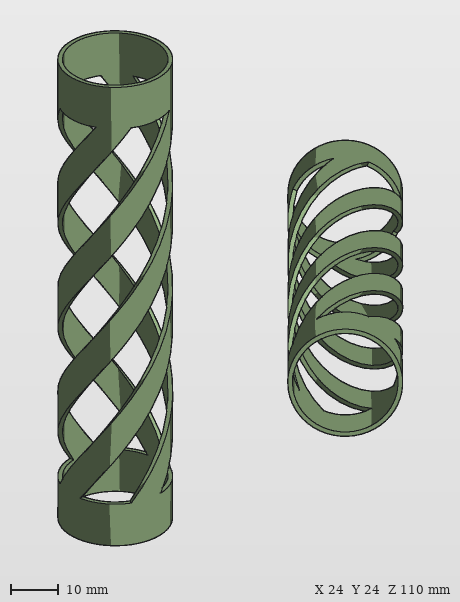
import cadquery as cq
import math

OUTER_DIAMETER = 24.0
INNER_DIAMETER = 22.0
TOTAL_HEIGHT = 110.0
RING_HEIGHT = 10.0
STRIP_COUNT = 4
HELIX_PITCH = 100.0
STRIP_RISE = 10.0
FIRST_STRIP_ANGLE = -90.0
CUT_MARGIN = 1.0

OUTER_RADIUS = OUTER_DIAMETER / 2
INNER_RADIUS = INNER_DIAMETER / 2
WINDOW_HEIGHT = TOTAL_HEIGHT - 2 * RING_HEIGHT
WINDOW_TWIST = 360.0 * WINDOW_HEIGHT / HELIX_PITCH
STRIP_ANGLE = 360.0 * STRIP_RISE / HELIX_PITCH
STRIP_SPACING = 360.0 / STRIP_COUNT
WINDOW_ANGLE = STRIP_SPACING - STRIP_ANGLE


def polar(radius, angle):
    """Point in the XY plane at a radius and an angle in degrees."""
    return (radius * math.cos(math.radians(angle)), radius * math.sin(math.radians(angle)))


def tube():
    """Full-height thin-walled tube standing on the XY plane."""
    return cq.Workplane("XY").circle(OUTER_RADIUS).circle(INNER_RADIUS).extrude(TOTAL_HEIGHT)


def helical_window(start_angle):
    """Cutter for one gap between strips: an annular sector twisted from ring to ring."""
    inner = INNER_RADIUS - CUT_MARGIN
    outer = OUTER_RADIUS + CUT_MARGIN
    middle_angle = start_angle + WINDOW_ANGLE / 2
    end_angle = start_angle + WINDOW_ANGLE
    return (
        cq.Workplane("XY", origin=(0, 0, RING_HEIGHT))
        .moveTo(*polar(inner, start_angle))
        .lineTo(*polar(outer, start_angle))
        .threePointArc(polar(outer, middle_angle), polar(outer, end_angle))
        .lineTo(*polar(inner, end_angle))
        .threePointArc(polar(inner, middle_angle), polar(inner, start_angle))
        .close()
        .twistExtrude(WINDOW_HEIGHT, WINDOW_TWIST)
    )


result = tube()
for strip_index in range(STRIP_COUNT):
    strip_start = FIRST_STRIP_ANGLE + strip_index * STRIP_SPACING
    result = result.cut(helical_window(strip_start + STRIP_ANGLE))